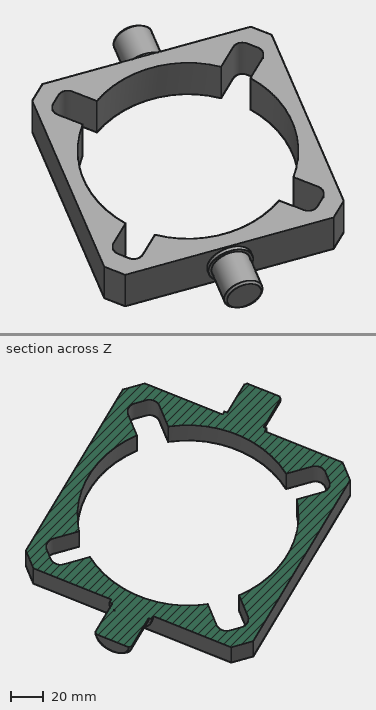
import cadquery as cq

overall_length = 210.0
frame_side = 155.0
frame_height = 32.0
corner_chamfer = 10.0

bore_diameter = 135.0
slot_width = 20.0
slot_reach = 89.9
slot_corner_radius = 6.3
slot_angles = (45, 135, 225, 315)

pin_diameter = 25.0
pin_chamfer = 1.5
collar_diameter = 29.0
collar_length = 2.5


def make_frame():
    """Square frame, centred on the origin, with chamfered vertical edges."""
    return (
        cq.Workplane("XY")
        .box(frame_side, frame_side, frame_height)
        .edges("|Z")
        .chamfer(corner_chamfer)
    )


def make_slot(angle):
    """Slot cutter reaching from the centre outwards, rounded at its outer end."""
    return (
        cq.Workplane("XY")
        .box(slot_reach, slot_width, frame_height)
        .translate((slot_reach / 2, 0, 0))
        .edges("|Z and >X")
        .fillet(slot_corner_radius)
        .rotate((0, 0, 0), (0, 0, 1), angle)
    )


def make_trunnion():
    """Collar and chamfered pin standing on the +X side of the frame."""
    pin_length = (overall_length - frame_side) / 2
    side_face = cq.Workplane("YZ").workplane(offset=frame_side / 2)
    collar = side_face.circle(collar_diameter / 2).extrude(collar_length)
    pin = side_face.circle(pin_diameter / 2).extrude(pin_length).faces(">X").chamfer(pin_chamfer)
    return collar.union(pin)


bore = cq.Workplane("XY").circle(bore_diameter / 2).extrude(frame_height / 2, both=True)
result = make_frame().cut(bore)
for slot_angle in slot_angles:
    result = result.cut(make_slot(slot_angle))

trunnion = make_trunnion()
result = result.union(trunnion).union(trunnion.mirror("YZ"))